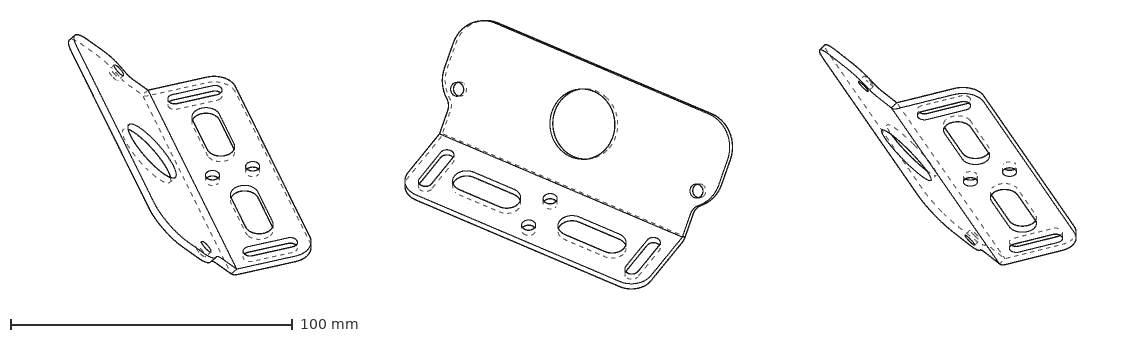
import cadquery as cq
import math

thickness = 2.7
bend_angle = 50.0
base_width = 100.0
base_depth = 30.1
base_corner_radius = 8.0

hole_diameter = 5.0
hole_spacing = 15.0
side_slot_length = 20.0
side_slot_offset = 42.5
wide_slot_length = 26.4
wide_slot_width = 10.0
wide_slot_offset = 21.7

plate_width = 113.0
plate_height = 44.6
plate_corner_radius = 12.5
neck_fillet_radius = 5.0
shoulder_height = 22.5
window_diameter = 25.0
window_height = 23.4
ear_hole_offset = 49.3
ear_hole_height = 17.3


def make_base():
    """Flat plate behind the bend line, with the rounded outside of the bend."""
    plate = (
        cq.Workplane("XY")
        .box(base_width, base_depth, thickness, centered=(True, False, False))
        .edges("|Z and >Y")
        .fillet(base_corner_radius)
    )

    angle = math.radians(bend_angle)
    end_point = (-thickness * math.sin(angle), thickness * (1 - math.cos(angle)))
    mid_point = (-thickness * math.sin(angle / 2), thickness * (1 - math.cos(angle / 2)))
    bend = (
        cq.Workplane("YZ")
        .moveTo(0, thickness)
        .lineTo(0, 0)
        .threePointArc(mid_point, end_point)
        .close()
        .extrude(base_width / 2, both=True)
    )

    openings = (
        cq.Workplane("XY")
        .center(0, base_depth / 2)
        .pushPoints([(0, -hole_spacing / 2), (0, hole_spacing / 2)])
        .circle(hole_diameter / 2)
        .extrude(thickness)
    )
    for side in (-1, 1):
        side_slot = (
            cq.Workplane("XY")
            .center(side * side_slot_offset, base_depth / 2)
            .slot2D(side_slot_length, hole_diameter, 90)
            .extrude(thickness)
        )
        wide_slot = (
            cq.Workplane("XY")
            .center(side * wide_slot_offset, base_depth / 2)
            .slot2D(wide_slot_length, wide_slot_width)
            .extrude(thickness)
        )
        openings = openings.union(side_slot).union(wide_slot)

    return plate.union(bend).cut(openings)


def make_inclined_plate():
    """Sloping plate with a narrow neck at the bend and wide rounded ears."""
    half_neck = base_width / 2
    half_width = plate_width / 2
    step = half_width - half_neck

    radius_sum = plate_corner_radius + neck_fillet_radius
    ear_angle = math.acos((radius_sum - step) / radius_sum)
    neck_height = shoulder_height - radius_sum * math.sin(ear_angle)
    ear_center_x = half_width - plate_corner_radius
    fillet_center_x = half_neck + neck_fillet_radius

    def ear_point(angle):
        return (
            ear_center_x + plate_corner_radius * math.cos(angle),
            shoulder_height - plate_corner_radius * math.sin(angle),
        )

    def fillet_point(angle):
        return (
            fillet_center_x - neck_fillet_radius * math.cos(angle),
            neck_height + neck_fillet_radius * math.sin(angle),
        )

    half_plate = (
        cq.Workplane("XY")
        .moveTo(0, 0)
        .lineTo(half_neck, 0)
        .lineTo(half_neck, neck_height)
        .threePointArc(fillet_point(ear_angle / 2), fillet_point(ear_angle))
        .threePointArc(ear_point(ear_angle / 2), ear_point(0))
        .lineTo(half_width, plate_height)
        .lineTo(0, plate_height)
        .close()
        .extrude(thickness)
        .edges(cq.selectors.NearestToPointSelector((half_width, plate_height, thickness / 2)))
        .fillet(plate_corner_radius)
    )
    plate = half_plate.union(half_plate.mirror("YZ"))

    window = cq.Workplane("XY").center(0, window_height).circle(window_diameter / 2).extrude(thickness)
    ear_holes = (
        cq.Workplane("XY")
        .pushPoints([(side * ear_hole_offset, ear_hole_height) for side in (-1, 1)])
        .circle(hole_diameter / 2)
        .extrude(thickness)
    )
    plate = plate.cut(window).cut(ear_holes)

    return plate.rotate((0, 0, 0), (1, 0, 0), 180 - bend_angle).translate((0, 0, thickness))


base = make_base()
inclined_plate = make_inclined_plate()
result = cq.Compound.makeCompound([base.val(), inclined_plate.val()])